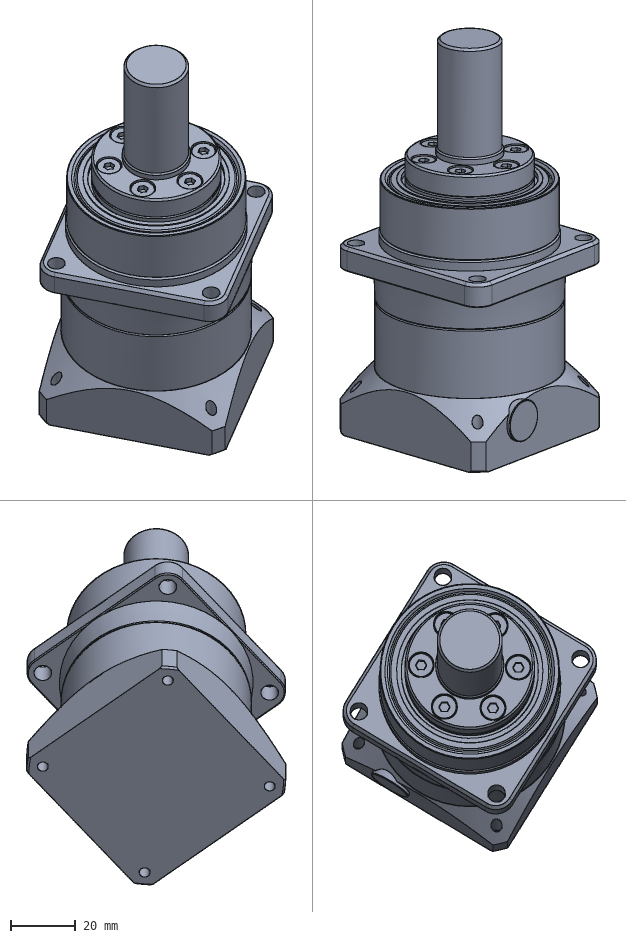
import cadquery as cq
import math

total_height = 128.0
corner_height = 10.1
base_height = 20.6
seam_height = 43.0
flange_bottom = 54.0
flange_top = 61.8
pilot_bottom = 65.0
pilot_top = 82.2
disc_bottom = 83.0
disc_top = 90.2
collar_top = 92.5

seam_half_width = 0.4
seam_depth = 0.4

base_half = 29.8
base_corner_radius = 40.0
base_corner_chamfer = 0.6
base_hole_diameter = 3.3
bolt_hole_spacing = 49.7

barrel_radius = 29.3
neck_top_radius = 29.8
neck_bow = 0.1

flange_width = 60.0
flange_corner_radius = 6.0
flange_top_chamfer = 1.0
flange_bottom_chamfer = 0.4
flange_hole_diameter = 5.4
shoulder_radius = 28.0
pilot_radius = 27.6
pilot_chamfer = 0.3

rim_inner_radius = 26.1
groove_outer_radius = 25.3
groove_inner_radius = 24.8
seal_radius = 24.3
lip_radius = 22.5
gap_radius = 21.1
groove_depth = 0.8
seal_drop = 0.4
gap_depth = 1.5

plug_x = 10.1
plug_z = 12.8
plug_radius = 6.7
plug_end_y = 31.0
plug_chamfer = 0.3

shaft_radius = 10.0
shaft_chamfer = 0.8
collar_radius = 10.5
collar_chamfer = collar_radius - shaft_radius
disc_radius = 20.0
disc_chamfer = 0.6
journal_bottom = pilot_bottom

screw_count = 6
first_screw_angle = 90.0
screw_circle_radius = 15.0
screw_recess_diameter = 8.0
screw_recess_depth = 1.0
screw_head_diameter = 7.3
screw_head_drop = 0.4
socket_sides = 6
socket_across_flats = 3.0
socket_depth = 1.9


def make_base():
    """Square base whose corners are trimmed by a cone-topped round bar."""
    cone_top_radius = base_corner_radius - (base_height - corner_height)
    trim = (
        cq.Workplane("XZ")
        .moveTo(0, 0)
        .lineTo(base_corner_radius - base_corner_chamfer, 0)
        .lineTo(base_corner_radius, base_corner_chamfer)
        .lineTo(base_corner_radius, corner_height)
        .lineTo(cone_top_radius, base_height)
        .lineTo(0, base_height)
        .close()
        .revolve(360, (0, 0, 0), (0, 1, 0))
    )
    block = cq.Workplane("XY").rect(2 * base_half, 2 * base_half).extrude(base_height)
    return block.intersect(trim)


def make_barrel_and_neck():
    """Round barrel, V groove and slightly flared neck up to the flange."""
    neck_bottom = seam_height + seam_half_width
    neck_middle_radius = (barrel_radius + neck_top_radius) / 2 - neck_bow
    return (
        cq.Workplane("XZ")
        .moveTo(0, corner_height)
        .lineTo(barrel_radius, corner_height)
        .lineTo(barrel_radius, seam_height - seam_half_width)
        .lineTo(barrel_radius - seam_depth, seam_height)
        .lineTo(barrel_radius, neck_bottom)
        .threePointArc(
            (neck_middle_radius, (neck_bottom + flange_bottom) / 2),
            (neck_top_radius, flange_bottom),
        )
        .lineTo(neck_top_radius, flange_bottom + flange_bottom_chamfer)
        .lineTo(0, flange_bottom + flange_bottom_chamfer)
        .close()
        .revolve(360, (0, 0, 0), (0, 1, 0))
    )


def make_flange():
    """Square mounting flange with rounded corners."""
    return (
        cq.Workplane("XY")
        .workplane(offset=flange_bottom)
        .rect(flange_width, flange_width)
        .extrude(flange_top - flange_bottom)
        .edges("|Z")
        .fillet(flange_corner_radius)
        .faces(">Z")
        .chamfer(flange_top_chamfer)
        .faces("<Z")
        .chamfer(flange_bottom_chamfer)
    )


def make_pilot():
    """Centring pilot on the flange, with the seal rings turned into its end face."""
    seal_top = pilot_top - seal_drop
    groove_floor = pilot_top - groove_depth
    return (
        cq.Workplane("XZ")
        .moveTo(0, flange_top)
        .lineTo(shoulder_radius, flange_top)
        .lineTo(shoulder_radius, pilot_bottom - seam_half_width)
        .lineTo(pilot_radius - seam_depth, pilot_bottom)
        .lineTo(pilot_radius, pilot_bottom + seam_half_width)
        .lineTo(pilot_radius, pilot_top - pilot_chamfer)
        .lineTo(pilot_radius - pilot_chamfer, pilot_top)
        .lineTo(rim_inner_radius, pilot_top)
        .lineTo(groove_outer_radius, groove_floor)
        .lineTo(groove_inner_radius, groove_floor)
        .lineTo(seal_radius, seal_top)
        .lineTo(lip_radius, seal_top)
        .lineTo(lip_radius, pilot_top)
        .lineTo(gap_radius, pilot_top)
        .lineTo(gap_radius, pilot_top - gap_depth)
        .lineTo(0, pilot_top - gap_depth)
        .close()
        .revolve(360, (0, 0, 0), (0, 1, 0))
    )


def make_side_plug():
    """Round access plug standing out of the back face of the base."""
    return (
        cq.Workplane("XZ", origin=(plug_x, base_half - plug_radius, plug_z))
        .circle(plug_radius)
        .extrude(base_half - plug_radius - plug_end_y)
        .faces(">Y")
        .chamfer(plug_chamfer)
    )


def corner_holes(diameter, bottom, top):
    """Four vertical hole cutters at the corners of the square bolt pattern."""
    return (
        cq.Workplane("XY")
        .workplane(offset=bottom)
        .rect(bolt_hole_spacing, bolt_hole_spacing, forConstruction=True)
        .vertices()
        .circle(diameter / 2)
        .extrude(top - bottom)
    )


def make_housing():
    """Complete gearbox housing with its bore for the shaft journal."""
    journal_bore = (
        cq.Workplane("XY")
        .workplane(offset=journal_bottom)
        .circle(disc_radius)
        .extrude(pilot_top - journal_bottom)
    )
    return (
        make_base()
        .union(make_barrel_and_neck())
        .union(make_flange())
        .union(make_pilot())
        .union(make_side_plug())
        .cut(corner_holes(base_hole_diameter, 0, base_height))
        .cut(corner_holes(flange_hole_diameter, flange_bottom, flange_top))
        .cut(journal_bore)
    )


def make_shaft_blank():
    """Turned shaft: journal, disc, collar and plain output end."""
    return (
        cq.Workplane("XZ")
        .moveTo(0, journal_bottom)
        .lineTo(disc_radius, journal_bottom)
        .lineTo(disc_radius, disc_bottom - seam_half_width)
        .lineTo(disc_radius - seam_depth, disc_bottom)
        .lineTo(disc_radius, disc_bottom + seam_half_width)
        .lineTo(disc_radius, disc_top - disc_chamfer)
        .lineTo(disc_radius - disc_chamfer, disc_top)
        .lineTo(collar_radius, disc_top)
        .lineTo(collar_radius, collar_top - collar_chamfer)
        .lineTo(shaft_radius, collar_top)
        .lineTo(shaft_radius, total_height - shaft_chamfer)
        .lineTo(shaft_radius - shaft_chamfer, total_height)
        .lineTo(0, total_height)
        .close()
        .revolve(360, (0, 0, 0), (0, 1, 0))
    )


def screw_cutter(x, y):
    """Counterbore around one sunken screw head, and the hexagon socket in the head."""
    recess = (
        cq.Workplane("XY", origin=(x, y, disc_top))
        .circle(screw_recess_diameter / 2)
        .extrude(-screw_recess_depth)
    )
    head = (
        cq.Workplane("XY", origin=(x, y, disc_top - screw_recess_depth))
        .circle(screw_head_diameter / 2)
        .extrude(screw_recess_depth - screw_head_drop)
    )
    socket = (
        cq.Workplane("XY", origin=(x, y, disc_top))
        .transformed(rotate=(0, 0, 90))
        .polygon(socket_sides, socket_across_flats / math.cos(math.pi / socket_sides))
        .extrude(-socket_depth)
    )
    return recess.cut(head).union(socket)


def make_shaft():
    """Output shaft with its ring of socket screws."""
    shaft = make_shaft_blank()
    for i in range(screw_count):
        angle = math.radians(first_screw_angle + i * 360 / screw_count)
        x = screw_circle_radius * math.cos(angle)
        y = screw_circle_radius * math.sin(angle)
        shaft = shaft.cut(screw_cutter(x, y))
    return shaft


housing = make_housing()
output_shaft = make_shaft()

result = cq.Compound.makeCompound([housing.val(), output_shaft.val()])